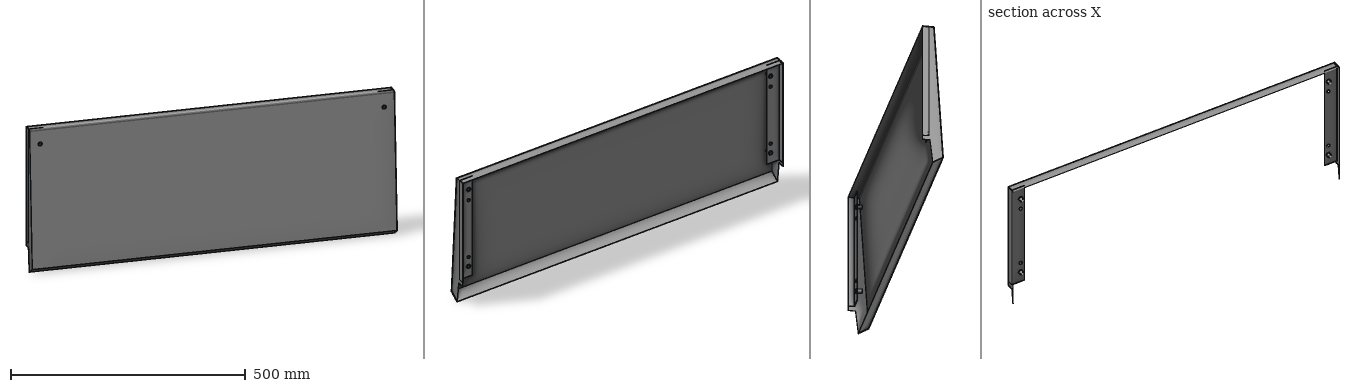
import cadquery as cq
import math

WIDTH = 812.2
DEPTH = 45.12
HEIGHT = 325.53
SHEET = 1.2
TOP_DEPTH = 25.2
FRONT_HEIGHT = 311.5
LIP_TIP_X = 22.2
TOP_BEND_RADIUS = 2.5

STEP_Z = -272.0
STEP_DEPTH = 16.0

BRACKET_SHEET = 1.5
BRACKET_HEIGHT = 262.0 - SHEET
BRACKET_WIDTH = 32.0
WEB_X = 12.5
WEB_FRONT_X = WEB_X + BRACKET_SHEET

HOLE_LINE_INSET = 23.7
HOLE_LINE_Y = WIDTH / 2 - HOLE_LINE_INSET
PLAIN_HOLE_DIAMETER = 7.5
PLAIN_HOLE_Z = (-61.3, -211.0)

STANDOFF_Z = (-33.5, -235.5)
HEAD_ACROSS_FLATS = 9.5
BARREL_DIAMETER = 9.5
BARREL_LENGTH = 11.6
BORE_DIAMETER = 5.4

SIDES = (-1, 1)


def side_prism(points):
    """Prism as wide as the tray, with the given X-Z outline, centred on Y = 0."""
    return cq.Workplane("XZ").polyline(points).close().extrude(WIDTH / 2, both=True)


def rod(start_x, end_x, y, z, diameter):
    """Cylinder along X."""
    return cq.Workplane("YZ", origin=(start_x, y, z)).circle(diameter / 2).extrude(end_x - start_x)


def standoff_head(y, z):
    """Hexagonal plug that fills its hole in a bracket web, with two corners pointing along Y."""
    across_corners = HEAD_ACROSS_FLATS / math.cos(math.pi / 6)
    return cq.Workplane("YZ", origin=(WEB_X, y, z)).polygon(6, across_corners).extrude(BRACKET_SHEET)


def make_tray():
    """Hollow the full wedge from the back, then cut the back edge to its stepped outline."""
    lip_slope = (HEIGHT - FRONT_HEIGHT) / (DEPTH - LIP_TIP_X)
    wedge_bottom = -FRONT_HEIGHT - lip_slope * DEPTH
    wedge = side_prism([(0, 0), (TOP_DEPTH, 0), (DEPTH, -FRONT_HEIGHT), (0, wedge_bottom)])
    top_front_edge = cq.selectors.NearestToPointSelector((TOP_DEPTH, 0, 0))
    bent = wedge.edges(top_front_edge).fillet(TOP_BEND_RADIUS)
    panel = bent.faces("<X").shell(-SHEET)
    behind_step = [
        (0, STEP_Z),
        (STEP_DEPTH, STEP_Z),
        (LIP_TIP_X, -HEIGHT),
        (LIP_TIP_X, wedge_bottom),
        (0, wedge_bottom),
    ]
    return panel.cut(side_prism(behind_step))


def make_bracket(side):
    """Angle with a flange against the tray end and a web that carries the holes."""
    outer_y = side * (WIDTH / 2 - SHEET)
    flange_inner_y = outer_y - side * BRACKET_SHEET
    web_edge_y = outer_y - side * BRACKET_WIDTH
    outline = [
        (0, outer_y),
        (WEB_FRONT_X, outer_y),
        (WEB_FRONT_X, web_edge_y),
        (WEB_X, web_edge_y),
        (WEB_X, flange_inner_y),
        (0, flange_inner_y),
    ]
    under_top = cq.Workplane("XY", origin=(0, 0, -SHEET))
    bracket = under_top.polyline(outline).close().extrude(-BRACKET_HEIGHT)
    hole_y = side * HOLE_LINE_Y
    for z in PLAIN_HOLE_Z:
        bracket = bracket.cut(rod(WEB_X, WEB_FRONT_X, hole_y, z, PLAIN_HOLE_DIAMETER))
    for z in STANDOFF_Z:
        bracket = bracket.cut(standoff_head(hole_y, z))
    return bracket


def make_standoff(side, z):
    """Head and barrel with a bore right through."""
    y = side * HOLE_LINE_Y
    tip_x = WEB_FRONT_X + BARREL_LENGTH
    barrel = rod(WEB_FRONT_X, tip_x, y, z, BARREL_DIAMETER)
    bore = rod(WEB_X, tip_x, y, z, BORE_DIAMETER)
    return standoff_head(y, z).union(barrel).cut(bore)


tray = make_tray()
brackets = [make_bracket(side) for side in SIDES]
standoffs = [make_standoff(side, z) for side in SIDES for z in STANDOFF_Z]

result = cq.Compound.makeCompound([body.val() for body in [tray, *brackets, *standoffs]])